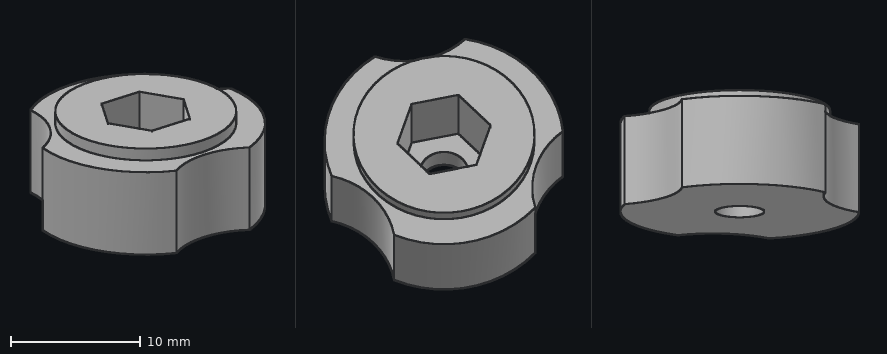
import cadquery as cq
import math

body_radius = 9.25
total_height = 8.0
collar_height = 1.0
collar_radius = 7.0
body_height = total_height - collar_height

scallop_count = 3
first_scallop_angle = 90.0
scallop_radius = 6.56
scallop_floor_radius = 7.47
scallop_center_radius = scallop_floor_radius + scallop_radius

hex_across_flats = 6.4
hex_across_corners = hex_across_flats / math.cos(math.radians(30))
hex_depth = 6.0
hole_diameter = 3.79


def make_knob():
    """Round body standing on Z = 0, with a raised collar on top."""
    body = cq.Workplane("XY").circle(body_radius).extrude(body_height)
    return body.faces(">Z").workplane().circle(collar_radius).extrude(collar_height)


def make_scallops():
    """Full-height cylinders that cut the finger scallops into the rim of the body."""
    return (
        cq.Workplane("XY")
        .polarArray(scallop_center_radius, first_scallop_angle, 360, scallop_count)
        .circle(scallop_radius)
        .extrude(body_height)
    )


def make_bore():
    """Hexagonal pocket open at the top, above a round hole through the floor."""
    pocket = (
        cq.Workplane("XY")
        .workplane(offset=total_height - hex_depth)
        .polygon(6, hex_across_corners)
        .extrude(hex_depth)
    )
    hole = cq.Workplane("XY").circle(hole_diameter / 2).extrude(total_height)
    return pocket.union(hole)


result = make_knob().cut(make_scallops()).cut(make_bore())